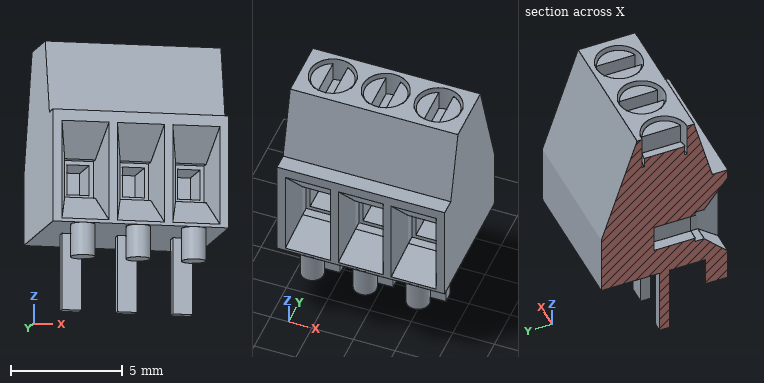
import cadquery as cq


housing_width = 8.08
housing_depth = 6.2
housing_bottom = 3.48
total_height = 12.0
ledge_height = 8.59
ledge_depth = 0.75
top_front = 1.65
top_back = 4.45
back_wall_height = 6.59

pole_count = 3
pole_pitch = 2.55
pole_y = housing_depth / 2
pole_positions = [(i - (pole_count - 1) / 2) * pole_pitch for i in range(pole_count)]

funnel_width = 2.16
funnel_bottom = 3.64
funnel_top = 8.09
funnel_depth = 1.16
throat_width = 1.4
throat_height = 1.75
throat_center = 5.69
throat_depth = 0.43
clamp_rim = 0.19
clamp_depth = 2.0

screw_hole_diameter = 2.2
screw_diameter = 2.0
screw_recess = 0.2
slot_width = 0.71
slot_depth = 1.0
head_height = 1.5
screw_hole_depth = screw_recess + head_height

pin_width = 0.9
pin_thickness = 0.5
post_diameter = 1.1
post_height = 1.48


def make_housing():
    """Side profile in the YZ plane, extruded across the width."""
    profile = [
        (0, housing_bottom),
        (0, ledge_height),
        (ledge_depth, ledge_height),
        (top_front, total_height),
        (top_back, total_height),
        (housing_depth, back_wall_height),
        (housing_depth, housing_bottom),
    ]
    return cq.Workplane("YZ").polyline(profile).close().extrude(housing_width / 2, both=True)


def block_from_front(x, y, z, width, depth, height):
    """Box centred on x and z that runs from y toward the back."""
    return cq.Workplane("XY").box(width, depth, height, centered=(True, False, True)).translate((x, y, z))


def wire_entry(x):
    """Cavity for one wire, starting at the front face."""
    funnel_height = funnel_top - funnel_bottom
    funnel_center = (funnel_top + funnel_bottom) / 2
    funnel = (
        cq.Workplane("XZ")
        .center(x, funnel_center)
        .rect(funnel_width, funnel_height)
        .workplane(offset=-funnel_depth)
        .center(0, throat_center - funnel_center)
        .rect(throat_width, throat_height)
        .loft(ruled=True)
    )
    throat = block_from_front(x, funnel_depth, throat_center, throat_width, throat_depth, throat_height)
    clamp = block_from_front(
        x,
        funnel_depth + throat_depth,
        throat_center,
        throat_width - 2 * clamp_rim,
        clamp_depth,
        throat_height - 2 * clamp_rim,
    )
    return funnel.union(throat).union(clamp)


def cylinder(x, y, bottom, diameter, height):
    """Upright cylinder standing on the given level."""
    return cq.Workplane("XY", origin=(x, y, bottom)).circle(diameter / 2).extrude(height)


def screw_cavity(x):
    """Clear space around a slotted screw head: the hole less the head."""
    floor = total_height - screw_hole_depth
    hole = cylinder(x, pole_y, floor, screw_hole_diameter, screw_hole_depth)
    head = cylinder(x, pole_y, floor, screw_diameter, head_height)
    slot = (
        cq.Workplane("XY", origin=(x, pole_y, total_height - screw_recess))
        .rect(slot_width, screw_diameter)
        .extrude(-slot_depth)
    )
    return hole.cut(head.cut(slot))


def pin(x):
    """Solder pin from the tip up to the housing."""
    return cq.Workplane("XY", origin=(x, pole_y, 0)).rect(pin_width, pin_thickness).extrude(housing_bottom)


def post(x):
    """Standoff post whose side is tangent to the front face."""
    return cylinder(x, post_diameter / 2, housing_bottom - post_height, post_diameter, post_height)


result = make_housing()
for pole_x in pole_positions:
    result = result.cut(wire_entry(pole_x)).cut(screw_cavity(pole_x))
    result = result.union(pin(pole_x)).union(post(pole_x))